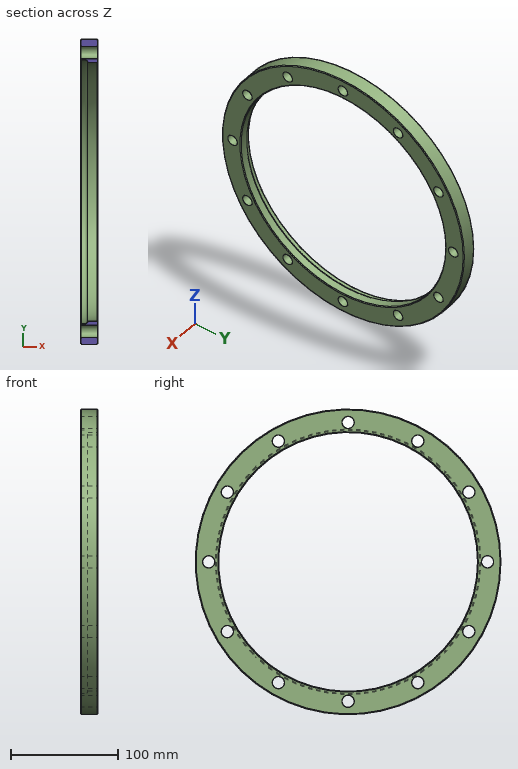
import cadquery as cq

outer_diameter = 285.0
thickness = 16.0
outer_radius = outer_diameter / 2
edge_chamfer = 0.9

bore_radius = 120.5
seat_radius = 122.8
seat_depth = 4.3
seat_round = seat_radius - bore_radius

bolt_count = 12
bolt_hole_diameter = 11.0
bolt_circle_radius = 130.0

half_thickness = thickness / 2


def ring_body():
    """Revolve the ring section, drawn with X along the axis and Y as the radius."""
    front = -half_thickness
    back = half_thickness
    round_start = front + seat_depth
    round_end = round_start + seat_round
    section = (
        cq.Workplane("XY")
        .moveTo(front, seat_radius + edge_chamfer)
        .lineTo(front, outer_radius - edge_chamfer)
        .lineTo(front + edge_chamfer, outer_radius)
        .lineTo(back - edge_chamfer, outer_radius)
        .lineTo(back, outer_radius - edge_chamfer)
        .lineTo(back, bore_radius + edge_chamfer)
        .lineTo(back - edge_chamfer, bore_radius)
        .lineTo(round_end, bore_radius)
        .radiusArc((round_start, seat_radius), -seat_round)
        .lineTo(front + edge_chamfer, seat_radius)
        .close()
    )
    return section.revolve(360, (0, 0, 0), (1, 0, 0))


def bolt_holes():
    """Cutters for the through holes, one of them on the +Y axis."""
    return (
        cq.Workplane("YZ", origin=(-half_thickness, 0, 0))
        .polarArray(bolt_circle_radius, 0, 360, bolt_count)
        .circle(bolt_hole_diameter / 2)
        .extrude(thickness)
    )


result = ring_body().cut(bolt_holes())